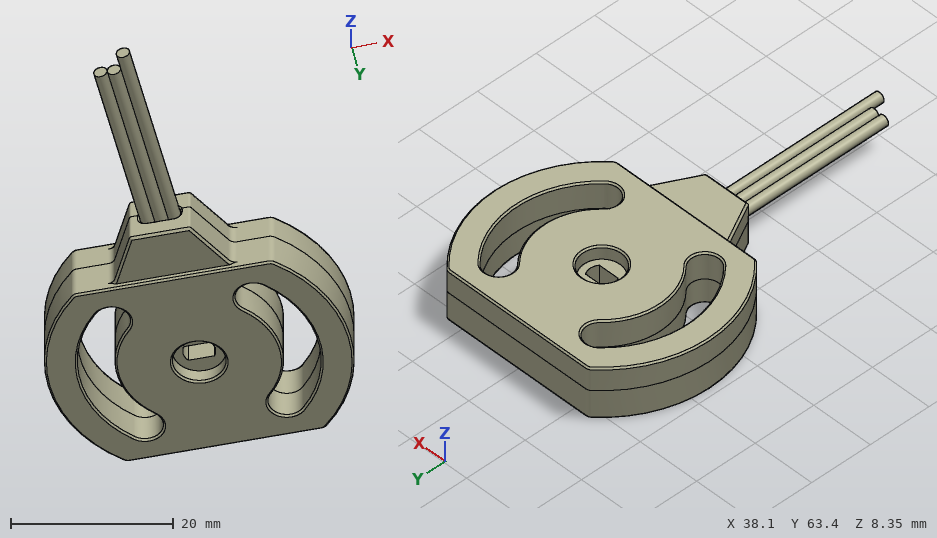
import cadquery as cq
import math

HOUSING_HEIGHT = 8.35
DISC_DIAMETER = 38.1
FLAT_OFFSET = 14.4
CORNER_RADIUS = 1.0
RIM_CHAMFER = 0.25

PARTING_HEIGHT = 4.7
COLLAR_THICKNESS = 0.65
COLLAR_DROP = 0.65

OUTLET_LENGTH = 7.05
OUTLET_END_Y = -FLAT_OFFSET - OUTLET_LENGTH
OUTLET_ROOT_HALF_WIDTH = 7.5
OUTLET_TIP_HALF_WIDTH = 3.8
OUTLET_MARGIN = 0.75
OUTLET_TIP_RADIUS = 0.4
OUTLET_ROOT_RADIUS = 1.0
OUTLET_CHAMFER = 0.3
OUTLET_BASE_HALF_WIDTH = 9.5
OUTLET_BASE_DEPTH = 1.25

SLOT_RADIUS = 12.7
SLOT_WIDTH = 4.6
SLOT_HALF_ANGLE = math.radians(45)
SLOT_SIDES = (-1, 1)
MOUTH_CHAMFER = 0.25

BORE_RADIUS = 3.3
BORE_CHAMFER = 0.25
ROTOR_CLEARANCE = 0.2
ROTOR_RECESS = 1.95
DRIVE_RADIUS = 2.0
DRIVE_FLAT_WIDTH = 2.35

OVERALL_LENGTH = 63.4
SHORT_WIRE_END_Y = -46.45
LONG_WIRE_END_Y = FLAT_OFFSET - OVERALL_LENGTH
WIRE_ENDS_Y = (SHORT_WIRE_END_Y, SHORT_WIRE_END_Y, LONG_WIRE_END_Y)
WIRE_PITCH = 1.7
WIRE_GAP = 0.025
WIRE_DIAMETER = WIRE_PITCH - WIRE_GAP
WIRE_HEIGHT = 4.1

OPENING_WIDTH = len(WIRE_ENDS_Y) * WIRE_PITCH
OPENING_HEIGHT = WIRE_PITCH
OPENING_DEPTH = 1.25
OPENING_FLOOR_Y = OUTLET_END_Y + OPENING_DEPTH
OPENING_TOP_RADIUS = 0.5
OPENING_BOTTOM_RADIUS = 0.8
OPENING_CHAMFER = 0.25



def cylinder(radius, z_from, z_to):
    return cq.Workplane("XY", origin=(0, 0, z_from)).circle(radius).extrude(z_to - z_from)


def slab(z_from, z_to):
    """Horizontal layer that covers the whole housing."""
    reach = 2 * DISC_DIAMETER
    return cq.Workplane("XY", origin=(0, 0, z_from)).rect(reach, reach).extrude(z_to - z_from)


def polar(radius, angle):
    return (radius * math.cos(angle), radius * math.sin(angle))


def arc_slot(side, width, z_from, z_to):
    """Arc-shaped prism with round ends, on the +X (side 1) or -X (side -1) half."""
    middle = 0 if side > 0 else math.pi
    start = middle - SLOT_HALF_ANGLE
    end = middle + SLOT_HALF_ANGLE
    inner = SLOT_RADIUS - width / 2
    outer = SLOT_RADIUS + width / 2

    def cap_tip(angle, direction):
        x, y = polar(SLOT_RADIUS, angle)
        dx, dy = polar(width / 2, angle + direction * math.pi / 2)
        return (x + dx, y + dy)

    return (
        cq.Workplane("XY", origin=(0, 0, z_from))
        .moveTo(*polar(inner, start))
        .threePointArc(polar(inner, middle), polar(inner, end))
        .threePointArc(cap_tip(end, 1), polar(outer, end))
        .threePointArc(polar(outer, middle), polar(outer, start))
        .threePointArc(cap_tip(start, -1), polar(inner, start))
        .close()
        .extrude(z_to - z_from)
    )



def make_plate():
    disc = cylinder(DISC_DIAMETER / 2, 0, HOUSING_HEIGHT)
    band = cq.Workplane("XY").rect(DISC_DIAMETER, 2 * FLAT_OFFSET).extrude(HOUSING_HEIGHT)
    plate = disc.intersect(band).edges("|Z").fillet(CORNER_RADIUS)
    return plate.faces("<Z or >Z").edges().chamfer(RIM_CHAMFER)


def chamfer_mouths(plate, size):
    """Chamfer the top and bottom mouths of all openings in the plate."""
    for face in ("<Z", ">Z"):
        mouths = plate.faces(face).val().innerWires()
        plate = plate.newObject([edge for mouth in mouths for edge in mouth.Edges()]).chamfer(size)
    return plate


def cut_slots(plate):
    for side in SLOT_SIDES:
        plate = plate.cut(arc_slot(side, SLOT_WIDTH, 0, HOUSING_HEIGHT))
    return chamfer_mouths(plate, MOUTH_CHAMFER)


def make_bore():
    """Bore through the housing, flared at both mouths."""
    bore = cylinder(BORE_RADIUS, 0, HOUSING_HEIGHT)
    return bore.union(make_bore_flare(False)).union(make_bore_flare(True))


def make_bore_flare(at_top):
    flare = cq.Workplane("XY").add(
        cq.Solid.makeCone(BORE_RADIUS + BORE_CHAMFER, BORE_RADIUS, BORE_CHAMFER)
    )
    if at_top:
        return flare.mirror("XY").translate((0, 0, HOUSING_HEIGHT))
    return flare


def make_outlet():
    base_y = -FLAT_OFFSET + OUTLET_BASE_DEPTH
    right_half = [
        (OUTLET_BASE_HALF_WIDTH, base_y),
        (OUTLET_BASE_HALF_WIDTH, -FLAT_OFFSET),
        (OUTLET_ROOT_HALF_WIDTH, -FLAT_OFFSET),
        (OUTLET_TIP_HALF_WIDTH, OUTLET_END_Y),
    ]
    left_half = [(-x, y) for x, y in reversed(right_half)]
    outlet = (
        cq.Workplane("XY", origin=(0, 0, OUTLET_MARGIN))
        .polyline(right_half + left_half)
        .close()
        .extrude(HOUSING_HEIGHT - 2 * OUTLET_MARGIN)
    )
    outlet = fillet_corner_pair(outlet, OUTLET_TIP_HALF_WIDTH, OUTLET_END_Y, OUTLET_TIP_RADIUS)
    outlet = fillet_corner_pair(outlet, OUTLET_ROOT_HALF_WIDTH, -FLAT_OFFSET, OUTLET_ROOT_RADIUS)
    outlet = outlet.faces("<Z or >Z").edges().chamfer(OUTLET_CHAMFER)
    return cut_cable_opening(outlet)


def fillet_corner_pair(block, x, y, radius):
    """Round the vertical edges at (-x, y) and (x, y)."""
    margin = 0.3
    pair = cq.selectors.BoxSelector((-x - margin, y - margin, 0), (x + margin, y + margin, HOUSING_HEIGHT))
    return block.edges("|Z").edges(pair).fillet(radius)


def cut_cable_opening(outlet):
    opening = (
        cq.Workplane("XZ", origin=(0, OPENING_FLOOR_Y, WIRE_HEIGHT))
        .rect(OPENING_WIDTH, OPENING_HEIGHT)
        .extrude(OPENING_DEPTH)
    )
    opening = opening.faces(">Z").edges("|Y").fillet(OPENING_TOP_RADIUS)
    opening = opening.faces("<Z").edges("|Y").fillet(OPENING_BOTTOM_RADIUS)
    outlet = outlet.cut(opening)
    mouth = outlet.faces("<Y").val().innerWires()[0]
    return outlet.newObject(mouth.Edges()).chamfer(OPENING_CHAMFER)


def make_wire(x, end_y):
    start = cq.Workplane("XZ", origin=(x, OPENING_FLOOR_Y, WIRE_HEIGHT))
    return start.circle(WIRE_DIAMETER / 2).extrude(OPENING_FLOOR_Y - end_y)


def make_collar_zone():
    """Zones around the slots where the upper half reaches below the parting plane."""
    left, right = [
        arc_slot(side, SLOT_WIDTH + 2 * COLLAR_THICKNESS, PARTING_HEIGHT - COLLAR_DROP, PARTING_HEIGHT)
        for side in SLOT_SIDES
    ]
    return left.union(right)


def make_upper_zone():
    return slab(PARTING_HEIGHT, HOUSING_HEIGHT).union(make_collar_zone())


def make_housing():
    """Complete housing, before it is parted into two halves."""
    return cut_slots(make_plate()).union(make_outlet()).cut(make_bore())


def make_lower_housing():
    """Lower half, with the wires fixed in the floor of the cable opening."""
    lower = make_housing().cut(make_upper_zone())
    first_x = -WIRE_PITCH * (len(WIRE_ENDS_Y) - 1) / 2
    for index, end_y in enumerate(WIRE_ENDS_Y):
        lower = lower.union(make_wire(first_x + index * WIRE_PITCH, end_y))
    return lower


def make_upper_housing():
    return make_housing().intersect(make_upper_zone())



def make_rotor():
    """Journal that fits the lower half, and a hub that runs clear of the upper half."""
    journal = cylinder(BORE_RADIUS, ROTOR_RECESS, PARTING_HEIGHT)
    hub = cylinder(BORE_RADIUS - ROTOR_CLEARANCE, PARTING_HEIGHT, HOUSING_HEIGHT - ROTOR_RECESS)
    flats = cq.Workplane("XY").rect(2 * DRIVE_RADIUS, DRIVE_FLAT_WIDTH).extrude(HOUSING_HEIGHT)
    drive_hole = cylinder(DRIVE_RADIUS, 0, HOUSING_HEIGHT).intersect(flats)
    return journal.union(hub).cut(drive_hole)


lower_housing = make_lower_housing()
upper_housing = make_upper_housing()
rotor = make_rotor()

result = cq.Compound.makeCompound([
    *lower_housing.solids().vals(),
    *upper_housing.solids().vals(),
    *rotor.solids().vals(),
])